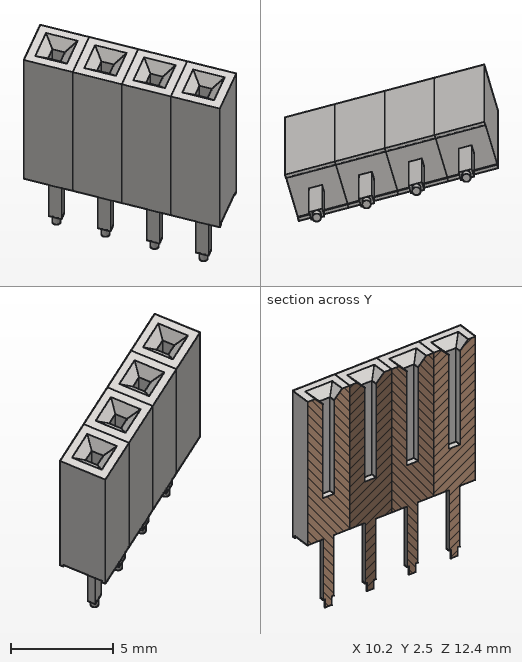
import cadquery as cq

contact_count = 4
row_length = 10.15
pitch = row_length / contact_count

housing_depth = 2.5
housing_height = 8.51

foot_width = 0.19
recess_height = 0.12

lead_in_width = 1.64
lead_in_depth = 0.5
socket_width = 0.65
socket_depth = 5.95

total_height = 12.4
blade_width = 0.67
tip_diameter = 0.42
blade_thickness = tip_diameter
tip_length = 0.5
pin_drop = total_height - housing_height
blade_length = pin_drop - tip_length + recess_height


def make_housing():
    """Block with a recess running along X across its underside."""
    block = cq.Workplane("XY").box(pitch, housing_depth, housing_height, centered=(True, True, False))
    recess_depth = housing_depth - 2 * foot_width
    recess = cq.Workplane("XY").box(pitch, recess_depth, recess_height, centered=(True, True, False))
    return block.cut(recess)


def make_socket():
    """Socket cavity: a square funnel above a blind square hole."""
    funnel = (
        cq.Workplane("XY", origin=(0, 0, housing_height))
        .rect(lead_in_width, lead_in_width)
        .workplane(offset=-lead_in_depth)
        .rect(socket_width, socket_width)
        .loft(ruled=True)
    )
    hole = (
        cq.Workplane("XY", origin=(0, 0, housing_height - lead_in_depth))
        .rect(socket_width, socket_width)
        .extrude(-(socket_depth - lead_in_depth))
    )
    return funnel.union(hole)


def make_pin():
    """Blade hanging from the recess ceiling, with a round tip below it."""
    blade = (
        cq.Workplane("XY", origin=(0, 0, recess_height))
        .rect(blade_width, blade_thickness)
        .extrude(-blade_length)
    )
    return blade.faces("<Z").workplane().circle(tip_diameter / 2).extrude(tip_length)


def make_contact():
    """One contact of the row: housing block and pin as a single solid."""
    return make_housing().cut(make_socket()).union(make_pin())


contacts = []
for index in range(contact_count):
    x_position = (index - (contact_count - 1) / 2) * pitch
    contacts.append(make_contact().translate((x_position, 0, 0)).val())

contact_solids = [solid for contact in contacts for solid in contact.Solids()]
result = cq.Compound.makeCompound(contact_solids)